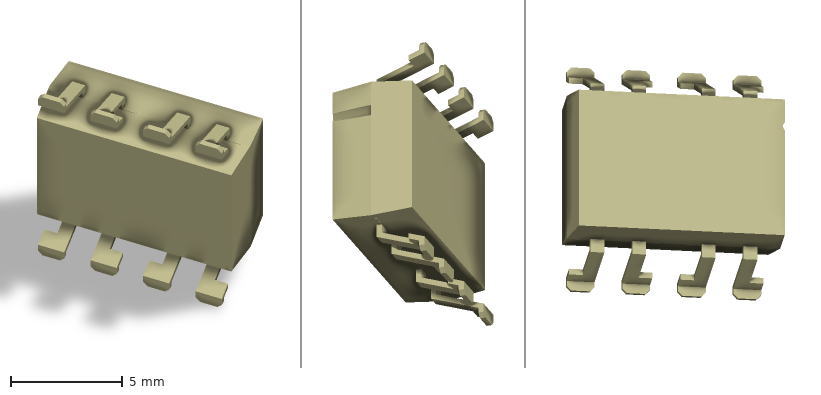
import cadquery as cq
import math

overall_height = 10.3
overall_depth = 4.3

body_width = 9.75
body_height = 6.6
body_depth = 3.8
half_depth = body_depth / 2
draft_angle = 5.0

groove_radius = 0.25
groove_z = 1.91

lead_count = 4
lead_pitch = 2.54
lead_width = 1.27
neck_width = lead_width / 2
lead_thickness = 0.25
root_depth = 0.52
knee_z = 3.72
shin_angle = 20.0
foot_start_y = -1.65
foot_chamfer = 0.21

root_top_z = body_height / 2
root_bottom_z = root_top_z - root_depth
tip_z = overall_height / 2
lead_back_y = lead_thickness / 2
lead_front_y = -lead_thickness / 2
sole_y = half_depth - overall_depth
instep_y = sole_y + lead_thickness
ankle_z = knee_z + (lead_front_y - sole_y) * math.tan(math.radians(shin_angle))
bend_offset = lead_thickness * math.tan(math.radians((90 - shin_angle) / 2))


def make_lead():
    """One lead of the upper row, centred on x = 0, with its neck on the +X side."""
    side_profile = [
        (lead_back_y, root_bottom_z),
        (lead_back_y, knee_z + bend_offset),
        (instep_y, ankle_z + bend_offset),
        (instep_y, tip_z),
        (sole_y, tip_z),
        (sole_y, ankle_z),
        (lead_front_y, knee_z),
        (lead_front_y, root_bottom_z),
    ]
    lead = cq.Workplane("YZ").polyline(side_profile).close().extrude(lead_width / 2, both=True)

    lead = lead.faces(">Z").edges("|Y").chamfer(foot_chamfer)

    draft_slope = math.tan(math.radians(draft_angle))
    relief_profile = [
        (lead_back_y, root_top_z - lead_back_y * draft_slope),
        (lead_back_y, tip_z),
        (foot_start_y, tip_z),
        (foot_start_y, root_top_z - foot_start_y * draft_slope),
    ]
    neck_edge_x = lead_width / 2 - neck_width
    neck_relief = cq.Workplane("YZ").polyline(relief_profile).close().extrude(-lead_width)
    return lead.cut(neck_relief.translate((neck_edge_x, 0, 0)))


def make_leads():
    """Both rows of leads; the neck changes side from each lead to the next."""
    neck_right = make_lead()
    neck_left = neck_right.mirror("YZ")
    placed = []
    for index in range(lead_count):
        x = (index - (lead_count - 1) / 2) * lead_pitch
        pattern = neck_right if index % 2 == 0 else neck_left
        upper = pattern.translate((x, 0, 0))
        placed.append(upper)
        placed.append(upper.mirror("XY"))
    return placed


def make_housing(fitted_leads):
    """Drafted housing with the marker groove and a recess for every lead root."""
    front_half = cq.Workplane("XZ").rect(body_width, body_height).extrude(half_depth, taper=draft_angle)
    rear_half = front_half.mirror("XZ")

    groove = (
        cq.Workplane("XZ")
        .center(-body_width / 2, groove_z)
        .circle(groove_radius)
        .extrude(-half_depth)
    )
    housing = front_half.union(rear_half.cut(groove))

    for lead in fitted_leads:
        housing = housing.cut(lead)
    return housing


leads = make_leads()
housing = make_housing(leads)
result = cq.Compound.makeCompound([housing.solids().val(), *[lead.solids().val() for lead in leads]])